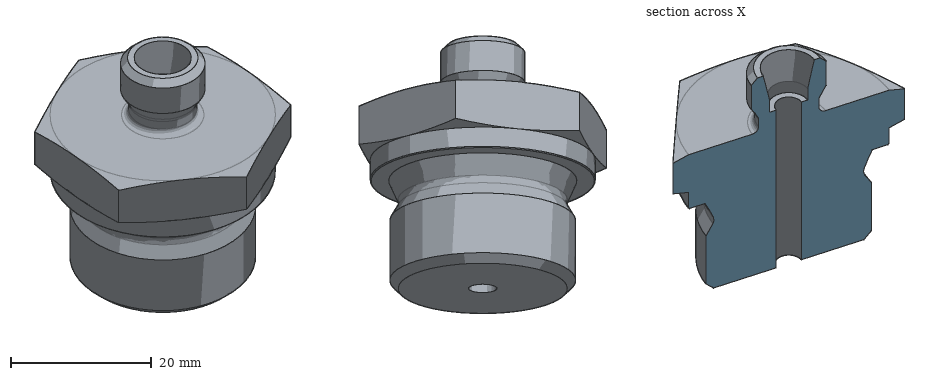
import cadquery as cq
import math

total_height = 36.0
large_thread_top = 10.07
flange_bottom = 16.0
flange_top = 19.0
hex_top = 26.0
small_thread_bottom = 30.56

across_flats = 32.0
hex_sides = 6
hex_chamfer_angle = 15.0
flange_edge_chamfer = 0.15

large_thread_diameter = 26.41
large_thread_chamfer = 1.2
groove_root_height = 12.5
groove_lower_angle = 30.0
groove_upper_angle = 24.0
groove_root_radius = 1.25

small_thread_diameter = 12.0
small_thread_chamfer = 1.0
undercut_diameter = 9.7
undercut_cone_angle = 30.0
undercut_fillet = 1.0

cone_mouth_diameter = 8.1
cone_half_angle = 12.0
socket_diameter = 6.0
socket_depth = 7.0
through_diameter = 4.0


def slope(angle):
    return math.tan(math.radians(angle))


def cylinder(diameter, bottom, top):
    """Solid cylinder on the Z axis between two heights."""
    return cq.Workplane("XY").workplane(offset=bottom).circle(diameter / 2).extrude(top - bottom)


def revolve_profile(profile):
    """Turn a closed radius-height profile about the Z axis."""
    return profile.close().revolve(360, (0, 0, 0), (0, 1, 0))


def double_cone(radius, bottom, top, angle):
    """Turned blank whose end faces have the given radius and whose sides widen at a shallow angle."""
    middle = (bottom + top) / 2
    middle_radius = radius + (middle - bottom) / slope(angle)
    return revolve_profile(
        cq.Workplane("XZ")
        .moveTo(0, bottom)
        .lineTo(radius, bottom)
        .lineTo(middle_radius, middle)
        .lineTo(radius, top)
        .lineTo(0, top)
    )


def make_hexagon():
    """Hexagon with flats facing X and its corners chamfered at both ends."""
    half_side_angle = 180 / hex_sides
    corner_diameter = across_flats / math.cos(math.radians(half_side_angle))
    prism = (
        cq.Workplane("XY")
        .workplane(offset=flange_top)
        .transformed(rotate=(0, 0, half_side_angle))
        .polygon(hex_sides, corner_diameter)
        .extrude(hex_top - flange_top)
    )
    return prism.intersect(double_cone(across_flats / 2, flange_top, hex_top, hex_chamfer_angle))


def make_flange():
    flange = cylinder(across_flats, flange_bottom, flange_top)
    return flange.faces("<Z").edges().chamfer(flange_edge_chamfer)


def make_large_end():
    """Threaded plug with a rounded V groove between it and the flange."""
    radius = large_thread_diameter / 2
    root = radius - (groove_root_height - large_thread_top) * slope(groove_lower_angle)
    upper = root + (flange_bottom - groove_root_height) * slope(groove_upper_angle)
    plug = revolve_profile(
        cq.Workplane("XZ")
        .lineTo(radius - large_thread_chamfer, 0)
        .lineTo(radius, large_thread_chamfer)
        .lineTo(radius, large_thread_top)
        .lineTo(root, groove_root_height)
        .lineTo(upper, flange_bottom)
        .lineTo(0, flange_bottom)
    )
    root_edge = cq.selectors.NearestToPointSelector((0, 0, groove_root_height))
    return plug.edges(root_edge).fillet(groove_root_radius)


def make_small_end():
    """Threaded stub with an undercut that is rounded into the hexagon and the thread."""
    radius = small_thread_diameter / 2
    neck = undercut_diameter / 2
    neck_bottom = hex_top + undercut_fillet

    cone_start = neck + undercut_fillet * (1 - math.cos(math.radians(undercut_cone_angle)))
    cone_start_height = small_thread_bottom - (radius - cone_start) / slope(undercut_cone_angle)
    neck_top = cone_start_height - undercut_fillet * math.sin(math.radians(undercut_cone_angle))

    return revolve_profile(
        cq.Workplane("XZ")
        .moveTo(0, hex_top)
        .lineTo(neck + undercut_fillet, hex_top)
        .radiusArc((neck, neck_bottom), undercut_fillet)
        .lineTo(neck, neck_top)
        .tangentArcPoint((cone_start, cone_start_height), relative=False)
        .lineTo(radius, small_thread_bottom)
        .lineTo(radius, total_height - small_thread_chamfer)
        .lineTo(radius - small_thread_chamfer, total_height)
        .lineTo(0, total_height)
    )


def make_bore():
    """Conical mouth, tube socket and through hole as one cutter."""
    mouth = cone_mouth_diameter / 2
    socket = socket_diameter / 2
    through = through_diameter / 2
    cone_bottom = total_height - (mouth - socket) / slope(cone_half_angle)
    socket_bottom = total_height - socket_depth
    return revolve_profile(
        cq.Workplane("XZ")
        .lineTo(through, 0)
        .lineTo(through, socket_bottom)
        .lineTo(socket, socket_bottom)
        .lineTo(socket, cone_bottom)
        .lineTo(mouth, total_height)
        .lineTo(0, total_height)
    )


body = make_large_end().union(make_flange()).union(make_hexagon()).union(make_small_end())
result = body.cut(make_bore())